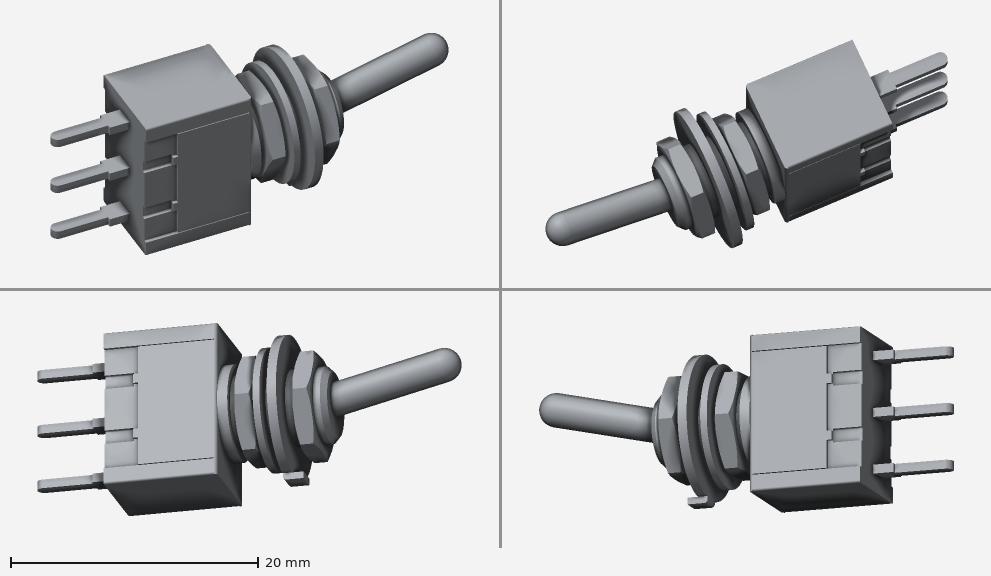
import cadquery as cq
import math


box_width = 8.0
box_height = 13.0
box_length = 9.5
bend_radius = 0.3
case_edge_radius = 0.18

plate_thickness = 0.25
arm_thickness = 0.32
recess_height = 10.27
arm_clearance = 0.07
arm_length = 6.62
tab_width = 0.78
tab_length = 0.42
bead_depth = 0.18
bead_radius = 0.15

bushing_diameter = 6.35
bushing_tip_diameter = 5.4
bushing_length = 8.85
flange_diameter = 8.0
flange_length = 0.85

lever_diameter = 2.8
lever_angle = 13.0
lever_pivot_y = 6.87
lever_tip_y = 19.35

nut_across_flats = 8.0
nut_across_corners = 9.05
nut_thickness = 1.52
nut_chamfer_angle = 20.0
outer_nut_y = 6.25
inner_nut_y = 1.4

tab_washer_diameter = 11.97
tab_washer_thickness = 0.78
tab_washer_y = 4.67
washer_tab_width = 1.77
washer_tab_thickness = 0.55
washer_tab_reach = 6.37
washer_tab_length = 1.75
washer_tab_bend = 0.3
plain_washer_diameter = 10.2
plain_washer_thickness = 0.55
plain_washer_y = 3.25

base_width = 6.3
base_height = 12.55
base_length = 2.85
terminal_count = 3
terminal_pitch = 4.7
terminal_thickness = 0.75
terminal_width = 1.8
terminal_neck_width = 1.17
terminal_shoulder = 1.77
terminal_length = 6.6

groove_height = 1.15
groove_depth = 0.3
groove_corner_radius = 0.1
groove_levels = [(i + 1 - terminal_count / 2) * terminal_pitch for i in range(terminal_count - 1)]


def block(width, height, y_start, y_end):
    """Box centred on the Y axis that runs from y_start to y_end."""
    length = y_end - y_start
    return cq.Workplane("XY").box(width, length, height).translate((0, (y_start + y_end) / 2, 0))


def disc(diameter, y_start, length):
    """Cylinder on the Y axis."""
    return cq.Workplane("XZ", origin=(0, y_start, 0)).circle(diameter / 2).extrude(-length)


def box_envelope():
    """Outer box with its two front upright edges rounded."""
    return block(box_width, box_height, -box_length, 0).edges("|Z and >Y").fillet(bend_radius)


def make_lever():
    """Round-ended cylinder, built along Z and then tilted up from the Y axis."""
    radius = lever_diameter / 2
    centre_distance = (lever_tip_y - radius - lever_pivot_y) / math.cos(math.radians(lever_angle))
    lever = (
        cq.Workplane("XZ")
        .lineTo(radius, 0)
        .lineTo(radius, centre_distance)
        .radiusArc((0, centre_distance + radius), -radius)
        .close()
        .revolve(360, (0, 0, 0), (0, 1, 0))
    )
    return lever.rotate((0, 0, 0), (1, 0, 0), lever_angle - 90).translate((0, lever_pivot_y, 0))


def make_bushing(lever):
    """Flanged bushing with a chamfered mouth and a seat that fits the lever."""
    chamfer = (bushing_diameter - bushing_tip_diameter) / 2
    barrel = disc(bushing_diameter, 0, bushing_length).faces(">Y").chamfer(chamfer)
    return barrel.union(disc(flange_diameter, 0, flange_length)).cut(lever)


def make_arms():
    """Two side arms, each with small tabs on its rear edge and a rounded bead inside each tab."""
    tab_end = -arm_length - tab_length
    inner_width = box_width - 2 * arm_thickness
    arms = block(box_width, recess_height - 2 * arm_clearance, -arm_length, 0)
    for level in groove_levels:
        tab = block(box_width, tab_width, tab_end, -arm_length)
        arms = arms.union(tab.translate((0, 0, level)))
    arms = arms.cut(block(inner_width, box_height, -box_length, 0))

    for level in groove_levels:
        for side in (-1, 1):
            inner_edge = "<Y and >X" if side < 0 else "<Y and <X"
            bead = block(bead_depth, groove_height, tab_end, -arm_length).edges(inner_edge).fillet(bead_radius)
            arms = arms.union(bead.translate((side * (inner_width - bead_depth) / 2, 0, level)))
    return arms


def make_frame(lever):
    """Front plate, side arms and bushing in one piece."""
    plate = block(box_width, box_height, -plate_thickness, 0)
    bent_sheet = plate.union(make_arms()).intersect(box_envelope())
    return bent_sheet.union(make_bushing(lever))


def make_base():
    """Plate that closes the rear of the case and carries the terminals."""
    base = block(base_width, base_height, -box_length, -box_length + base_length)
    neck_radius = terminal_neck_width / 2
    outline = (
        cq.Workplane("XY", origin=(0, -box_length, -terminal_thickness / 2))
        .moveTo(-terminal_width / 2, 0)
        .lineTo(-terminal_width / 2, -terminal_shoulder)
        .lineTo(-neck_radius, -terminal_shoulder)
        .lineTo(-neck_radius, neck_radius - terminal_length)
        .threePointArc((0, -terminal_length), (neck_radius, neck_radius - terminal_length))
        .lineTo(neck_radius, -terminal_shoulder)
        .lineTo(terminal_width / 2, -terminal_shoulder)
        .lineTo(terminal_width / 2, 0)
        .close()
    )
    terminal = outline.extrude(terminal_thickness)
    for i in range(terminal_count):
        level = (i - (terminal_count - 1) / 2) * terminal_pitch
        base = base.union(terminal.translate((0, 0, level)))
    return base


def make_case(base):
    """Case behind the front plate, recessed at the sides for the arms and open at the rear for the base."""
    case = block(box_width, box_height, -box_length, 0).edges("|Y").fillet(case_edge_radius)
    case = case.intersect(box_envelope()).cut(block(box_width, box_height, -plate_thickness, 0))
    recessed_width = box_width - 2 * arm_thickness
    side_recess = block(box_width, recess_height, -box_length, 0)
    side_recess = side_recess.cut(block(recessed_width, box_height, -box_length, 0))
    case = case.cut(side_recess)

    groove_floor_width = recessed_width - 2 * groove_depth
    for level in groove_levels:
        for side in (-1, 1):
            groove = (
                block(2 * groove_depth, groove_height, -box_length, -arm_length)
                .edges("|Y")
                .fillet(groove_corner_radius)
                .translate((side * (groove_floor_width / 2 + groove_depth), 0, level))
            )
            case = case.cut(groove)
    return case.cut(base)


def make_nut(y_start):
    """Hexagon nut with two flats level, and with its corners turned off at both ends."""
    corner_radius = nut_across_corners / 2
    face_radius = nut_across_flats / 2
    blank_radius = nut_across_flats / math.sqrt(3)
    chamfer_length = (blank_radius - face_radius) * math.tan(math.radians(nut_chamfer_angle))
    hexagon = (
        cq.Workplane("XZ")
        .polyline([
            (corner_radius, 0),
            (corner_radius / 2, face_radius),
            (-corner_radius / 2, face_radius),
            (-corner_radius, 0),
            (-corner_radius / 2, -face_radius),
            (corner_radius / 2, -face_radius),
        ])
        .close()
        .extrude(-nut_thickness)
    )
    turned_blank = (
        cq.Workplane("XY")
        .moveTo(bushing_diameter / 2, 0)
        .lineTo(face_radius, 0)
        .lineTo(blank_radius, chamfer_length)
        .lineTo(blank_radius, nut_thickness - chamfer_length)
        .lineTo(face_radius, nut_thickness)
        .lineTo(bushing_diameter / 2, nut_thickness)
        .close()
        .revolve(360, (0, 0, 0), (0, 1, 0))
    )
    return hexagon.intersect(turned_blank).translate((0, y_start, 0))


def make_plain_washer():
    """Flat ring that fits the bushing."""
    washer = disc(plain_washer_diameter, plain_washer_y, plain_washer_thickness)
    return washer.cut(disc(bushing_diameter, plain_washer_y, plain_washer_thickness))


def make_tab_washer():
    """Washer trimmed flat at the bottom, where a tab is bent towards the lever."""
    washer_end = tab_washer_y + tab_washer_thickness
    tab_centre_z = washer_tab_thickness / 2 - washer_tab_reach
    ring = disc(tab_washer_diameter, tab_washer_y, tab_washer_thickness)
    ring = ring.cut(disc(bushing_diameter, tab_washer_y, tab_washer_thickness))
    trim = block(tab_washer_diameter, washer_tab_thickness, tab_washer_y, washer_end)
    tab = block(washer_tab_width, washer_tab_thickness, tab_washer_y, tab_washer_y + washer_tab_length)
    tab = tab.edges("<Y and <Z").fillet(washer_tab_bend)
    return ring.cut(trim.translate((0, 0, tab_centre_z))).union(tab.translate((0, 0, tab_centre_z)))


lever = make_lever()
frame = make_frame(lever)
base = make_base()
case = make_case(base)
nuts = [make_nut(y_start) for y_start in (inner_nut_y, outer_nut_y)]
tab_washer = make_tab_washer()
plain_washer = make_plain_washer()

result = cq.Compound.makeCompound([
    lever.val(),
    frame.val(),
    case.val(),
    base.val(),
    *[nut.val() for nut in nuts],
    tab_washer.val(),
    plain_washer.val(),
])